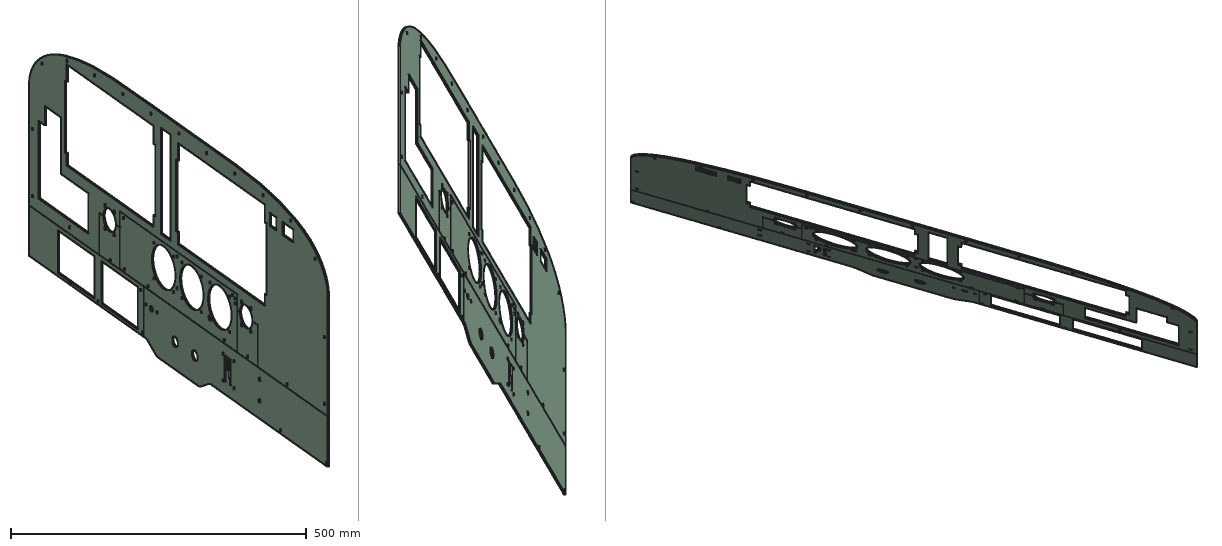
import cadquery as cq

WIDTH = 1000.0
HEIGHT = 459.0
THICKNESS = 3.2

HALF_WIDTH = WIDTH / 2
TOP = HEIGHT / 2
TAB_BOTTOM = -HEIGHT / 2
SEAM_Z = -116.0
LOWER_BOTTOM = -210.0
LOWER_SEAM_X = -116.0

SHOULDER_Z = 113.0
CROWN_POINTS = [(496.0, 129.0), (481.0, 154.0), (444.0, 184.0), (369.0, 211.0), (280.0, 225.0), (140.0, 229.0)]

GAUGE_PLATE_LEFT = -195.0
GAUGE_PLATE_RIGHT = 198.0
GAUGE_PLATE_TOP = -8.0
SIDE_PLATE_TOP = -38.0
LEFT_PLATE_EDGE = -264.0
RIGHT_PLATE_EDGE = 267.0

GAUGE_DIAMETER = 79.0
GAUGE_CENTRES_X = [-49.0, 45.0, 139.0]
GAUGE_Z = -55.0
GAUGE_SCREW_OFFSET = 33.0
GAUGE_SCREW_DIAMETER = 4.0
KNOB_DIAMETER = 9.7

DIAL_DIAMETER = 42.0
DIAL_CENTRES_X = [-230.0, 227.0]
DIAL_SCREW_X = 15.0
DIAL_SCREW_Z = 21.0
DIAL_TOP_SCREW_DIAMETER = 6.5
DIAL_BOTTOM_SCREW_DIAMETER = 6.1

WINDOW_CENTRES_X = [-229.0, 144.0]
WINDOW_WIDTH = 303.0
WINDOW_TOP = 195.0
WINDOW_BOTTOM = 7.0
WINDOW_STEP = 6.0
WINDOW_STEP_TOP = 162.0
WINDOW_STEP_BOTTOM = 29.0

SLOT_LEFT = -59.0
SLOT_RIGHT = -26.0
SLOT_BOTTOM = 4.0
SLOT_TOP = 201.0
SMALL_OPENING_SIDES = [(306.0, 328.0), (349.0, 385.0)]
SMALL_OPENING_BOTTOM = 162.0
SMALL_OPENING_TOP = 186.0
STEPPED_OPENING = [
    (-468.0, -91.0), (-302.0, -91.0), (-302.0, -16.0), (-393.0, -16.0),
    (-393.0, 89.0), (-447.0, 89.0), (-447.0, 53.0), (-468.0, 53.0),
]

SCREW_DIAMETER = 4.5
MAIN_SCREWS = [
    (-489.0, 30.0), (-457.0, 164.0), (-373.0, 202.0), (-281.0, 211.0), (-186.0, 214.0), (-92.0, 214.0),
    (2.0, 214.0), (95.0, 214.0), (189.0, 213.0), (284.0, 210.0), (376.0, 199.0), (458.0, 160.0),
    (489.0, 27.0), (489.0, -97.0), (364.0, -110.0), (-364.0, -104.0), (-489.0, -95.0),
]
GAUGE_PLATE_SCREWS = [
    (-184.0, -16.0), (-181.0, -110.0), (-102.0, -110.0), (154.0, -110.0),
    (-4.0, -17.0), (-4.0, -76.0), (181.0, -16.0), (190.0, -19.0), (190.0, -28.0),
]
LEFT_PLATE_SCREW = (-228.0, -111.0)
RIGHT_PLATE_SCREW = (232.0, -110.0)
LOWER_LEFT_SCREWS = [(-363.0, -207.0), (-269.0, -204.0), (-120.0, -204.0), (-126.0, -127.0)]
LOWER_RIGHT_SCREWS = [(342.0, -204.0), (496.0, -204.0), (-108.0, -147.0), (-71.0, -147.0)]

BOX_WIDTH = 122.0
BOX_TOP = -125.0
BOX_BOTTOM = -204.0
BOX_LEFT_EDGES = [-403.0, -258.0]

TAB_LEFT_TOP = -105.0
TAB_LEFT_BOTTOM = -72.0
TAB_RIGHT_BOTTOM = 72.0
TAB_RIGHT_TOP = 105.0
TAB_BLEND = 20.0
CONTROL_DIAMETER = 19.0
CONTROL_CENTRES = [(-11.0, -178.0), (55.0, -178.0)]
LATCH_HOLE = (-90.0, -148.0)
LATCH_DIAMETER = 9.7
SWITCH_HOLES = [(272.0, -137.0), (272.0, -177.0)]
SWITCH_DIAMETER = 6.3
LEVER_SCREWS = [(150.0, -137.0), (150.0, -187.0), (186.0, -137.0), (186.0, -187.0)]
LEVER_TOP = -138.0
LEVER_BOTTOM = -186.0
LEVER_SLOT_LEFT = 155.0
LEVER_SLOT_RIGHT = 159.0
STEPPED_SLOT = [
    (165.0, LEVER_TOP), (176.0, LEVER_TOP), (176.0, LEVER_BOTTOM), (173.0, LEVER_BOTTOM),
    (173.0, -174.0), (170.0, -174.0), (170.0, -161.0), (165.0, -161.0),
]


def sheet_plane():
    """XZ sketch plane on the back face; extruding runs towards -Y."""
    return cq.Workplane("XZ", origin=(0, THICKNESS / 2, 0))


def polygon(points):
    return sheet_plane().polyline(points).close().extrude(THICKNESS)


def box(left, right, bottom, top):
    return polygon([(left, bottom), (right, bottom), (right, top), (left, top)])


def discs(centres, diameter):
    return sheet_plane().pushPoints(centres).circle(diameter / 2).extrude(THICKNESS)


def dial_cutter(centre_x):
    """Round dial opening with its four screw holes."""
    sides = (centre_x - DIAL_SCREW_X, centre_x + DIAL_SCREW_X)
    upper = [(x, SIDE_PLATE_TOP + DIAL_SCREW_Z) for x in sides]
    lower = [(x, SIDE_PLATE_TOP - DIAL_SCREW_Z) for x in sides]
    return (
        discs([(centre_x, SIDE_PLATE_TOP)], DIAL_DIAMETER)
        .union(discs(upper, DIAL_TOP_SCREW_DIAMETER))
        .union(discs(lower, DIAL_BOTTOM_SCREW_DIAMETER))
    )


def window_cutter(centre_x):
    """Display window whose middle is wider than its top and bottom."""
    outer = WINDOW_WIDTH / 2
    inner = outer - WINDOW_STEP
    return box(centre_x - outer, centre_x + outer, WINDOW_STEP_BOTTOM, WINDOW_STEP_TOP).union(
        box(centre_x - inner, centre_x + inner, WINDOW_BOTTOM, WINDOW_TOP)
    )


def make_main_panel():
    left_crown = [(-x, z) for x, z in CROWN_POINTS]
    right_crown = CROWN_POINTS[::-1]
    crown = left_crown + [(0, TOP)] + right_crown + [(HALF_WIDTH, SHOULDER_Z)]
    panel = (
        sheet_plane()
        .moveTo(-HALF_WIDTH, SEAM_Z)
        .lineTo(-HALF_WIDTH, SHOULDER_Z)
        .spline(crown, includeCurrent=True)
        .lineTo(HALF_WIDTH, SEAM_Z)
        .close()
        .extrude(THICKNESS)
    )
    panel = panel.cut(box(GAUGE_PLATE_LEFT, GAUGE_PLATE_RIGHT, SEAM_Z, GAUGE_PLATE_TOP))
    panel = panel.cut(box(LEFT_PLATE_EDGE, GAUGE_PLATE_LEFT, SEAM_Z, SIDE_PLATE_TOP))
    panel = panel.cut(box(GAUGE_PLATE_RIGHT, RIGHT_PLATE_EDGE, SEAM_Z, SIDE_PLATE_TOP))
    for centre_x in WINDOW_CENTRES_X:
        panel = panel.cut(window_cutter(centre_x))
    for centre_x in DIAL_CENTRES_X:
        panel = panel.cut(dial_cutter(centre_x))
    panel = panel.cut(box(SLOT_LEFT, SLOT_RIGHT, SLOT_BOTTOM, SLOT_TOP))
    for left, right in SMALL_OPENING_SIDES:
        panel = panel.cut(box(left, right, SMALL_OPENING_BOTTOM, SMALL_OPENING_TOP))
    panel = panel.cut(polygon(STEPPED_OPENING))
    return panel.cut(discs(MAIN_SCREWS, SCREW_DIAMETER))


def make_gauge_plate():
    plate = box(GAUGE_PLATE_LEFT, GAUGE_PLATE_RIGHT, SEAM_Z, GAUGE_PLATE_TOP)
    plate = plate.cut(discs([(x, GAUGE_Z) for x in GAUGE_CENTRES_X], GAUGE_DIAMETER))
    corners = [
        (x + side * GAUGE_SCREW_OFFSET, GAUGE_Z + level * GAUGE_SCREW_OFFSET)
        for x in GAUGE_CENTRES_X
        for side in (-1, 1)
        for level in (-1, 1)
    ]
    knob = (GAUGE_CENTRES_X[-1] - GAUGE_SCREW_OFFSET, GAUGE_Z - GAUGE_SCREW_OFFSET)
    corners.remove(knob)
    plate = plate.cut(discs(corners, GAUGE_SCREW_DIAMETER))
    plate = plate.cut(discs([knob], KNOB_DIAMETER))
    return plate.cut(discs(GAUGE_PLATE_SCREWS, SCREW_DIAMETER))


def make_side_plate(left, right, dial_x, screw):
    plate = box(left, right, SEAM_Z, SIDE_PLATE_TOP)
    return plate.cut(dial_cutter(dial_x)).cut(discs([screw], SCREW_DIAMETER))


def make_lower_left_panel():
    panel = box(-HALF_WIDTH, LOWER_SEAM_X, LOWER_BOTTOM, SEAM_Z)
    for left in BOX_LEFT_EDGES:
        panel = panel.cut(box(left, left + BOX_WIDTH, BOX_BOTTOM, BOX_TOP))
    return panel.cut(discs(LOWER_LEFT_SCREWS, SCREW_DIAMETER))


def lever_cutter():
    """Narrow straight slot beside a slot that steps down in width."""
    straight = box(LEVER_SLOT_LEFT, LEVER_SLOT_RIGHT, LEVER_BOTTOM, LEVER_TOP)
    return straight.union(polygon(STEPPED_SLOT))


def make_lower_right_panel():
    panel = polygon([
        (LOWER_SEAM_X, SEAM_Z), (LOWER_SEAM_X, LOWER_BOTTOM), (TAB_LEFT_TOP, LOWER_BOTTOM),
        (TAB_LEFT_BOTTOM, TAB_BOTTOM), (TAB_RIGHT_BOTTOM, TAB_BOTTOM),
        (TAB_RIGHT_TOP, LOWER_BOTTOM), (HALF_WIDTH, LOWER_BOTTOM), (HALF_WIDTH, SEAM_Z),
    ])
    tab_corners = cq.selectors.BoxSelector(
        (TAB_LEFT_TOP - THICKNESS, -THICKNESS, TAB_BOTTOM - THICKNESS),
        (TAB_RIGHT_TOP + THICKNESS, THICKNESS, LOWER_BOTTOM + THICKNESS),
    )
    panel = panel.edges("|Y").edges(tab_corners).fillet(TAB_BLEND)
    panel = panel.cut(discs(CONTROL_CENTRES, CONTROL_DIAMETER))
    panel = panel.cut(discs([LATCH_HOLE], LATCH_DIAMETER))
    panel = panel.cut(discs(SWITCH_HOLES, SWITCH_DIAMETER))
    panel = panel.cut(lever_cutter())
    return panel.cut(discs(LOWER_RIGHT_SCREWS + LEVER_SCREWS, SCREW_DIAMETER))


main_panel = make_main_panel()
gauge_plate = make_gauge_plate()
left_plate = make_side_plate(LEFT_PLATE_EDGE, GAUGE_PLATE_LEFT, DIAL_CENTRES_X[0], LEFT_PLATE_SCREW)
right_plate = make_side_plate(
    GAUGE_PLATE_RIGHT, RIGHT_PLATE_EDGE, DIAL_CENTRES_X[1], RIGHT_PLATE_SCREW
)
lower_left_panel = make_lower_left_panel()
lower_right_panel = make_lower_right_panel()

result = cq.Compound.makeCompound([
    main_panel.val(),
    gauge_plate.val(),
    left_plate.val(),
    right_plate.val(),
    lower_left_panel.val(),
    lower_right_panel.val(),
])